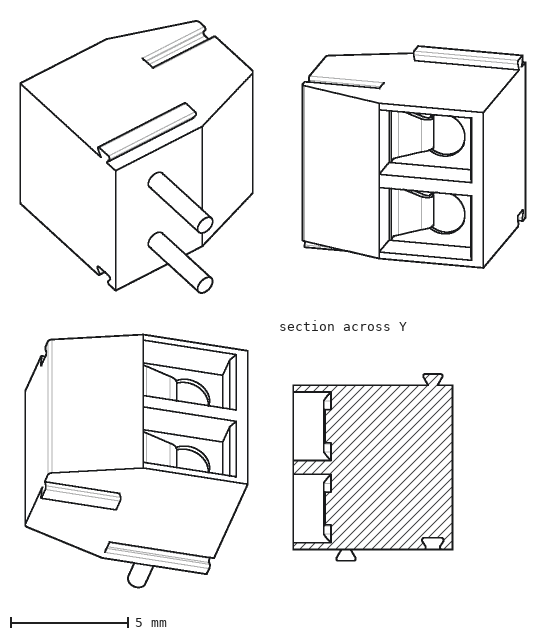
import cadquery as cq
import math

body_length = 6.8
body_depth = 8.4
body_height = 7.0
shoulder_y = 4.6
rear_inset = 1.4
rear_radius = 0.2

pole_pitch = 3.5
pole_heights = (-pole_pitch / 2, pole_pitch / 2)

pin_diameter = 0.8
pin_length = 3.5
pin_y = 2.14

entry_height = 2.9
entry_depth = 1.61
entry_wall_y = 0.68
lead_in_width = 0.16
lead_in_depth = 0.46
hole_diameter = 1.9
hole_y = 2.2
hole_depth = 0.24

guard_rise = 0.3
guard_radius = 0.4
guard_flat_start_y = 4.12
guard_flat_end_y = 3.09
guard_tip_y = guard_flat_end_y - guard_radius
guard_wide_half = 1.08
guard_narrow_half = 0.74
guard_tip_half = 0.67
guard_flare_offset = 0.25
guard_flare_extra = 0.13

overall_height = 7.96
rear_dovetail_x = 2.26
front_dovetail_x = 5.95
rear_dovetail_start_y = 5.11
root_half = 0.21
rail_height = (overall_height - body_height) / 2
rail_tip_half = 0.48
rail_radius = 0.09
groove_depth = 0.5
groove_floor_half = 0.55
groove_radius = 0.1
overlap = 0.31


def make_housing():
    """Box with a tapered rear, rounded at the two rear corners."""
    outline = [
        (0, 0),
        (body_length, 0),
        (body_length, shoulder_y),
        (body_length - rear_inset, body_depth),
        (rear_inset, body_depth),
        (0, shoulder_y),
    ]
    housing = cq.Workplane("XY").polyline(outline).close().extrude(body_height / 2, both=True)
    return housing.edges("|Z and >Y").fillet(rear_radius)


def extrude_along_y(outline, start_y, end_y):
    """Extrude an XZ outline from start_y to end_y."""
    plane = cq.Workplane("XZ", origin=(0, start_y, 0))
    return plane.polyline(outline).close().extrude(start_y - end_y)


def make_rail(x, side, start_y, end_y):
    """Dovetail rail on the top (side = 1) or bottom (side = -1) face."""
    face = side * body_height / 2
    tip = face + side * rail_height
    root = face - side * overlap
    outline = [
        (x - root_half, root),
        (x + root_half, root),
        (x + root_half, face),
        (x + rail_tip_half, tip),
        (x - rail_tip_half, tip),
        (x - root_half, face),
    ]
    rail = extrude_along_y(outline, start_y, end_y)
    return rail.edges("|Y").edges(">Z" if side > 0 else "<Z").fillet(rail_radius)


def make_groove(x, side, start_y, end_y):
    """Cutter for a dovetail groove with a rounded mouth and rounded inner corners."""
    face = side * body_height / 2
    floor = face - side * groove_depth
    outside = face + side * overlap
    mouth_half = groove_floor_half + overlap
    outline = [
        (x - mouth_half, outside),
        (x + mouth_half, outside),
        (x + mouth_half, face),
        (x + root_half, face),
        (x + groove_floor_half, floor),
        (x - groove_floor_half, floor),
        (x - root_half, face),
        (x - mouth_half, face),
    ]
    return extrude_along_y(outline, start_y, end_y).edges("|Y").fillet(groove_radius)


def make_entry(z):
    """Cutter for one wire entry: a pocket in the -X face with a shallow round hole in its floor."""
    outline = [
        (0, entry_wall_y - lead_in_width),
        (0, shoulder_y),
        (entry_depth, shoulder_y),
        (entry_depth, entry_wall_y),
        (lead_in_depth, entry_wall_y),
    ]
    plane = cq.Workplane("XY", origin=(0, 0, z))
    pocket = plane.polyline(outline).close().extrude(entry_height / 2, both=True)
    floor_plane = cq.Workplane("YZ", origin=(entry_depth, 0, 0))
    hole = floor_plane.center(hole_y, z).circle(hole_diameter / 2).extrude(hole_depth)
    return pocket.union(hole)


def make_guard(z):
    """Raised tongue: a rounded XY profile trimmed to a tapering YZ outline."""
    top_x = entry_depth - guard_rise
    centre_x = top_x + guard_radius
    base_x = entry_depth + hole_depth
    diagonal = guard_radius * math.sqrt(0.5)
    start_run = math.sqrt(guard_radius**2 - (centre_x - entry_depth) ** 2)
    base_y = guard_flat_start_y + start_run
    half_angle = math.asin(start_run / guard_radius) / 2
    start_mid = (
        centre_x - guard_radius * math.cos(half_angle),
        guard_flat_start_y + guard_radius * math.sin(half_angle),
    )
    profile = (
        cq.Workplane("XY", origin=(0, 0, z))
        .moveTo(base_x, base_y)
        .lineTo(entry_depth, base_y)
        .threePointArc(start_mid, (top_x, guard_flat_start_y))
        .lineTo(top_x, guard_flat_end_y)
        .threePointArc((centre_x - diagonal, guard_flat_end_y - diagonal), (centre_x, guard_tip_y))
        .lineTo(base_x, guard_tip_y)
        .close()
        .extrude(entry_height / 2, both=True)
    )
    flare_y = guard_flat_start_y + guard_flare_offset
    flare_half = guard_wide_half + guard_flare_extra
    outline = (
        cq.Workplane("YZ", origin=(top_x, 0, z))
        .moveTo(base_y, -entry_height / 2)
        .threePointArc((flare_y, -flare_half), (guard_flat_start_y, -guard_wide_half))
        .lineTo(guard_flat_end_y, -guard_narrow_half)
        .lineTo(guard_tip_y, -guard_tip_half)
        .lineTo(guard_tip_y, guard_tip_half)
        .lineTo(guard_flat_end_y, guard_narrow_half)
        .lineTo(guard_flat_start_y, guard_wide_half)
        .threePointArc((flare_y, flare_half), (base_y, entry_height / 2))
        .close()
        .extrude(base_x - top_x)
    )
    return profile.intersect(outline)


def make_pin(z):
    """Round solder pin on the +X face."""
    plane = cq.Workplane("YZ", origin=(body_length, 0, 0))
    return plane.center(pin_y, z).circle(pin_diameter / 2).extrude(pin_length)


result = make_housing()

result = result.cut(make_groove(rear_dovetail_x, 1, rear_dovetail_start_y, body_depth))
result = result.cut(make_groove(front_dovetail_x, -1, 0, shoulder_y))
result = result.union(make_rail(rear_dovetail_x, -1, rear_dovetail_start_y, body_depth))
result = result.union(make_rail(front_dovetail_x, 1, 0, shoulder_y))

for pole_z in pole_heights:
    result = result.cut(make_entry(pole_z))
    result = result.union(make_guard(pole_z))
    result = result.union(make_pin(pole_z))